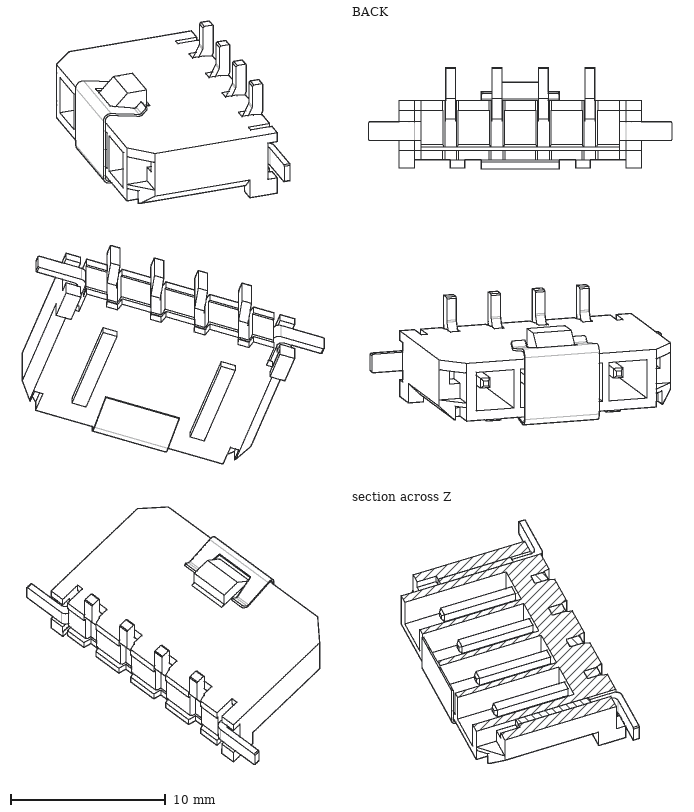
import cadquery as cq
import math


HOUSING_WIDTH = 15.7
HOUSING_DEPTH = 9.88
HOUSING_HEIGHT = 3.85
HALF_WIDTH = HOUSING_WIDTH / 2
CORNER_CHAMFER = 1.41
SIDE_CHAMFER = 0.77

PIN_PITCH = 3.0
PIN_COUNT = 4
PIN_CENTRES = [(i - (PIN_COUNT - 1) / 2) * PIN_PITCH for i in range(PIN_COUNT)]
CAVITY_SIZE = 2.55
CAVITY_DEPTH = 7.07
CAVITY_MID_Z = HOUSING_HEIGHT / 2

REAR_WALL_Y = 9.24
RECESS_BOTTOM = 0.59
RECESS_TOP = 3.2

PANEL_REAR_Y = 9.77
PANEL_BOTTOM = 0.83
PANEL_CHAMFER = 0.15

FOOT_DROP = 0.53
FOOT_WIDTH = 1.02
FOOT_FRONT_Y = 7.98
RAIL_WIDTH = 0.96
RAIL_INNER_X = 3.58
RAIL_FRONT_Y = 1.7
RAIL_REAR_Y = 7.7

LATCH_WIDTH = 2.57
LATCH_HEIGHT = 1.18
LATCH_FRONT_Y = 0.83
LATCH_REAR_Y = 3.32
LATCH_HEEL_LENGTH = 0.24
LATCH_HEEL_HEIGHT = 0.1

POCKET_BOTTOM = 1.2
UPPER_WINDOW_BOTTOM = 2.2
UPPER_WINDOW_WIDTH = 0.7
LOWER_NOTCH_WIDTH = 0.57
LOWER_NOTCH_HEIGHT = 0.9
POCKET_WALL_X = HALF_WIDTH - CORNER_CHAMFER

PIN_WIDTH = 0.65
PIN_LEG_DEPTH = 0.73
PIN_REAR_Y = 10.02
PIN_TOP = 5.97
PIN_BEND_FRONT_Z = 4.38
PIN_BEND_REAR_Z = 3.97
PIN_BEND_RADIUS = 0.24
PIN_SLANT = 0.5
PIN_BAR_TOP = CAVITY_MID_Z + PIN_WIDTH / 2
PIN_BAR_BOTTOM = CAVITY_MID_Z - PIN_WIDTH / 2
PIN_TIP_Y = 1.96
PIN_TIP_CHAMFER = 0.15
PIN_END_FRONT_CHAMFER = 0.1
PIN_END_REAR_CHAMFER = 0.05

PIN_SLOT_FRONT_Y = 8.57
PIN_SLOT_BOTTOM = 2.9
SLOT_FLARE_START_Y = 9.35
SLOT_FLARE_INNER_WIDTH = 0.75
SLOT_FLARE_OUTER_WIDTH = 1.02

NAIL_THICKNESS = 0.41
NAIL_OVERALL_SPAN = 19.65
NAIL_BAR_BOTTOM = 1.24
NAIL_BAR_TOP = 2.48
NAIL_OUTER_BEND_RADIUS = NAIL_THICKNESS
NAIL_INNER_BEND_RADIUS = 0.35
NAIL_END_CHAMFER = 0.08
NAIL_BLADE_FRONT_Y = 2.75
NAIL_BLADE_REAR_Y = 7.86
NAIL_TIP_CHAMFER = 0.12
NAIL_INNER_X = POCKET_WALL_X
NAIL_OUTER_X = NAIL_INNER_X + NAIL_THICKNESS
NAIL_SLOT_FRONT_Y = 8.41

CLIP_WIDTH = 5.05
CLIP_THICKNESS = 0.14
CLIP_OUTER_RADIUS = 0.45
CLIP_TOP_RISE = 0.51
CLIP_BOTTOM_DROP = 0.53
CLIP_TOP_CONTACT_Y = 2.48
CLIP_BOTTOM_CONTACT_Y = 2.55
CURL_RISE = 0.45
VALLEY_RADIUS = 0.18
CLIP_WINDOW_FRONT_Y = 0.79
CLIP_WINDOW_FRONT_WIDTH = 2.67
CLIP_WINDOW_REAR_WIDTH = 3.15
CLIP_CORNER_RADIUS = 0.14


def box(x_range, y_range, z_range):
    """Box spanning the given (low, high) ranges."""
    size = [high - low for low, high in (x_range, y_range, z_range)]
    corner = (x_range[0], y_range[0], z_range[0])
    return cq.Workplane("XY").box(*size, centered=False).translate(corner)


def extrude_along_x(outline, x_centre, width):
    """Solid of a (y, z) outline, centred on x_centre."""
    return cq.Workplane("YZ", origin=(x_centre, 0, 0)).polyline(outline).close().extrude(width / 2, both=True)


def both_sides(right_part):
    """A part on the +X side together with its mirror image."""
    return right_part.union(right_part.mirror("YZ"))


def pin_outline():
    """Side profile (y, z): a straight bar, a slanted stretch and an upright leg."""
    leg_front_y = PIN_REAR_Y - PIN_LEG_DEPTH
    bar_top_y = leg_front_y - PIN_SLANT * (PIN_BEND_FRONT_Z - PIN_BAR_TOP)
    bar_bottom_y = PIN_REAR_Y - PIN_SLANT * (PIN_BEND_REAR_Z - PIN_BAR_BOTTOM)
    return [
        (PIN_TIP_Y, PIN_BAR_BOTTOM),
        (bar_bottom_y, PIN_BAR_BOTTOM),
        (PIN_REAR_Y, PIN_BEND_REAR_Z),
        (PIN_REAR_Y, PIN_TOP - PIN_END_REAR_CHAMFER),
        (PIN_REAR_Y - PIN_END_REAR_CHAMFER, PIN_TOP),
        (leg_front_y + PIN_END_FRONT_CHAMFER, PIN_TOP),
        (leg_front_y, PIN_TOP - PIN_END_FRONT_CHAMFER),
        (leg_front_y, PIN_BEND_FRONT_Z),
        (bar_top_y, PIN_BAR_TOP),
        (PIN_TIP_Y, PIN_BAR_TOP),
    ]


def contact_pin(x_centre):
    pin = extrude_along_x(pin_outline(), x_centre, PIN_WIDTH)
    bend_point = (x_centre, PIN_REAR_Y - PIN_LEG_DEPTH, PIN_BEND_FRONT_Z)
    pin = pin.edges(cq.selectors.NearestToPointSelector(bend_point)).fillet(PIN_BEND_RADIUS)
    return pin.faces("<Y").chamfer(PIN_TIP_CHAMFER)


def solder_nail():
    blade = box(
        (NAIL_INNER_X, NAIL_OUTER_X),
        (NAIL_BLADE_FRONT_Y, NAIL_BLADE_REAR_Y),
        (RECESS_BOTTOM, RECESS_TOP),
    )
    blade = blade.faces("<Y").edges("|X").chamfer(NAIL_TIP_CHAMFER)

    bar_front_y = PIN_REAR_Y - NAIL_THICKNESS
    bar = (
        cq.Workplane("XY", origin=(0, 0, NAIL_BAR_BOTTOM))
        .polyline([
            (NAIL_INNER_X, NAIL_BLADE_REAR_Y),
            (NAIL_OUTER_X, NAIL_BLADE_REAR_Y),
            (NAIL_OUTER_X, bar_front_y),
            (NAIL_OVERALL_SPAN / 2, bar_front_y),
            (NAIL_OVERALL_SPAN / 2, PIN_REAR_Y),
            (NAIL_INNER_X, PIN_REAR_Y),
        ])
        .close()
        .extrude(NAIL_BAR_TOP - NAIL_BAR_BOTTOM)
    )
    bar = bar.faces(">X").edges("|Y").chamfer(NAIL_END_CHAMFER)
    bar_mid_z = (NAIL_BAR_BOTTOM + NAIL_BAR_TOP) / 2
    inner_bend = cq.selectors.NearestToPointSelector((NAIL_OUTER_X, bar_front_y, bar_mid_z))
    outer_bend = cq.selectors.NearestToPointSelector((NAIL_INNER_X, PIN_REAR_Y, bar_mid_z))
    bar = bar.edges(inner_bend).fillet(NAIL_INNER_BEND_RADIUS)
    bar = bar.edges(outer_bend).fillet(NAIL_OUTER_BEND_RADIUS)
    return blade.union(bar)


def strip_outline(path, thickness):
    """Closed outline of a strip whose left-hand side is `path` and which lies to the right of it."""
    normals = []
    for (y0, z0), (y1, z1) in zip(path, path[1:]):
        length = math.hypot(y1 - y0, z1 - z0)
        normals.append(((z1 - z0) / length, -(y1 - y0) / length))
    offset = []
    for i, (y, z) in enumerate(path):
        before = normals[max(i - 1, 0)]
        after = normals[min(i, len(normals) - 1)]
        stretch = thickness / (1 + before[0] * after[0] + before[1] * after[1])
        offset.append((y + stretch * (before[0] + after[0]), z + stretch * (before[1] + after[1])))
    return path + offset[::-1]


def retention_clip():
    inner_radius = CLIP_OUTER_RADIUS - CLIP_THICKNESS
    curl_end_y = CLIP_TOP_CONTACT_Y + CURL_RISE
    inner_path = [
        (curl_end_y, HOUSING_HEIGHT + CURL_RISE),
        (CLIP_TOP_CONTACT_Y, HOUSING_HEIGHT),
        (0, HOUSING_HEIGHT + CLIP_TOP_RISE),
        (0, -CLIP_BOTTOM_DROP),
        (CLIP_BOTTOM_CONTACT_Y, 0),
    ]
    outline = strip_outline(inner_path, CLIP_THICKNESS)
    clip = extrude_along_x(outline, 0, CLIP_WIDTH)

    bends = [
        (1, VALLEY_RADIUS + CLIP_THICKNESS, VALLEY_RADIUS),
        (2, inner_radius, CLIP_OUTER_RADIUS),
        (3, inner_radius, CLIP_OUTER_RADIUS),
    ]
    for i, path_radius, offset_radius in bends:
        for (y, z), radius in ((outline[i], path_radius), (outline[-1 - i], offset_radius)):
            clip = clip.edges(cq.selectors.NearestToPointSelector((0, y, z))).fillet(radius)
    clip = clip.cut(clip_window())

    tip_y = (outline[0][0] + outline[-1][0]) / 2
    tip_z = (outline[0][1] + outline[-1][1]) / 2
    for x in (-CLIP_WIDTH / 2, CLIP_WIDTH / 2):
        clip = clip.edges(cq.selectors.NearestToPointSelector((x, tip_y, tip_z))).fillet(CLIP_CORNER_RADIUS)
    return clip


def clip_window():
    """Tapered opening that splits the upper arm into two tabs around the latch."""
    rear_y = CLIP_TOP_CONTACT_Y
    end_y = LATCH_REAR_Y
    half_front = CLIP_WINDOW_FRONT_WIDTH / 2
    half_rear = CLIP_WINDOW_REAR_WIDTH / 2
    return (
        cq.Workplane("XY", origin=(0, 0, HOUSING_HEIGHT))
        .polyline([
            (-half_front, CLIP_WINDOW_FRONT_Y),
            (half_front, CLIP_WINDOW_FRONT_Y),
            (half_rear, rear_y),
            (half_rear, end_y),
            (-half_rear, end_y),
            (-half_rear, rear_y),
        ])
        .close()
        .extrude(LATCH_HEIGHT)
    )


def housing_block():
    block = box((-HALF_WIDTH, HALF_WIDTH), (0, HOUSING_DEPTH), (0, HOUSING_HEIGHT))
    block = block.faces("<Z").edges("|Y").chamfer(SIDE_CHAMFER)
    corner = (
        cq.Workplane("XY")
        .polyline([
            (HALF_WIDTH, 0),
            (HALF_WIDTH, CORNER_CHAMFER),
            (HALF_WIDTH - CORNER_CHAMFER, 0),
        ])
        .close()
        .extrude(HOUSING_HEIGHT)
    )
    return block.cut(both_sides(corner))


def feet_and_rails():
    foot_x = (HALF_WIDTH - FOOT_WIDTH, HALF_WIDTH)
    foot = box(foot_x, (FOOT_FRONT_Y, HOUSING_DEPTH), (-FOOT_DROP, SIDE_CHAMFER))
    rail_x = (RAIL_INNER_X, RAIL_INNER_X + RAIL_WIDTH)
    rail = box(rail_x, (RAIL_FRONT_Y, RAIL_REAR_Y), (-FOOT_DROP, 0))
    return both_sides(foot.union(rail))


def latch():
    top = HOUSING_HEIGHT + LATCH_HEIGHT
    return extrude_along_x(
        [
            (LATCH_FRONT_Y, HOUSING_HEIGHT),
            (LATCH_FRONT_Y + LATCH_HEIGHT, top),
            (LATCH_REAR_Y, top),
            (LATCH_REAR_Y, HOUSING_HEIGHT + LATCH_HEEL_HEIGHT),
            (LATCH_REAR_Y + LATCH_HEEL_LENGTH, HOUSING_HEIGHT),
        ],
        0,
        LATCH_WIDTH,
    )


def pin_cavity(x_centre):
    half = CAVITY_SIZE / 2
    x_range = (x_centre - half, x_centre + half)
    z_range = (CAVITY_MID_Z - half, CAVITY_MID_Z + half)
    return box(x_range, (0, CAVITY_DEPTH), z_range)


def pin_slot(x_centre):
    """Slot over the pin's slanted stretch, with a full-height flare at the rear face."""
    half_slot = PIN_WIDTH / 2
    slot = box(
        (x_centre - half_slot, x_centre + half_slot),
        (PIN_SLOT_FRONT_Y, HOUSING_DEPTH),
        (PIN_SLOT_BOTTOM, HOUSING_HEIGHT),
    )
    flare = (
        cq.Workplane("XY", origin=(x_centre, 0, 0))
        .polyline([
            (-SLOT_FLARE_INNER_WIDTH / 2, SLOT_FLARE_START_Y),
            (SLOT_FLARE_INNER_WIDTH / 2, SLOT_FLARE_START_Y),
            (SLOT_FLARE_OUTER_WIDTH / 2, HOUSING_DEPTH),
            (-SLOT_FLARE_OUTER_WIDTH / 2, HOUSING_DEPTH),
        ])
        .close()
        .extrude(HOUSING_HEIGHT)
    )
    return slot.union(flare)


def corner_openings():
    """Front corner pockets, the windows behind them and the nail channels they lead to."""
    pocket = box((POCKET_WALL_X, HALF_WIDTH), (0, CORNER_CHAMFER), (POCKET_BOTTOM, RECESS_TOP))
    upper_window = box(
        (POCKET_WALL_X, POCKET_WALL_X + UPPER_WINDOW_WIDTH),
        (CORNER_CHAMFER, NAIL_BLADE_FRONT_Y),
        (UPPER_WINDOW_BOTTOM, RECESS_TOP),
    )
    notch_x = (POCKET_WALL_X, POCKET_WALL_X + LOWER_NOTCH_WIDTH)
    lower_notch = box(notch_x, (0, CORNER_CHAMFER), (0, LOWER_NOTCH_HEIGHT))
    lower_window = box(notch_x, (CORNER_CHAMFER, NAIL_BLADE_FRONT_Y), (RECESS_BOTTOM, LOWER_NOTCH_HEIGHT))
    nail_x = (NAIL_INNER_X, NAIL_OUTER_X)
    channel = box(nail_x, (NAIL_BLADE_FRONT_Y, REAR_WALL_Y), (RECESS_BOTTOM, RECESS_TOP))
    rear_slot = box(nail_x, (NAIL_SLOT_FRONT_Y, HOUSING_DEPTH), (0, HOUSING_HEIGHT))
    openings = pocket
    for opening in (upper_window, lower_notch, lower_window, channel, rear_slot):
        openings = openings.union(opening)
    return both_sides(openings)


def rear_recess():
    recess = box((-HALF_WIDTH, HALF_WIDTH), (REAR_WALL_Y, HOUSING_DEPTH), (RECESS_BOTTOM, RECESS_TOP))
    panel = box((-NAIL_INNER_X, NAIL_INNER_X), (REAR_WALL_Y, PANEL_REAR_Y), (PANEL_BOTTOM, RECESS_TOP))
    panel = panel.faces(">Y").edges("<Z").chamfer(PANEL_CHAMFER)
    return recess.cut(panel)


def build_housing(pins):
    body = housing_block().union(feet_and_rails()).union(latch())
    body = body.cut(rear_recess()).cut(corner_openings())
    for x_centre, pin in zip(PIN_CENTRES, pins):
        body = body.cut(pin_cavity(x_centre)).cut(pin_slot(x_centre)).cut(pin)
    return body


pins = [contact_pin(x_centre) for x_centre in PIN_CENTRES]
housing = build_housing(pins)
right_nail = solder_nail()
nails = [right_nail, right_nail.mirror("YZ")]
clip = retention_clip()

result = cq.Compound.makeCompound([
    housing.val(),
    *[pin.val() for pin in pins],
    *[nail.val() for nail in nails],
    clip.val(),
])